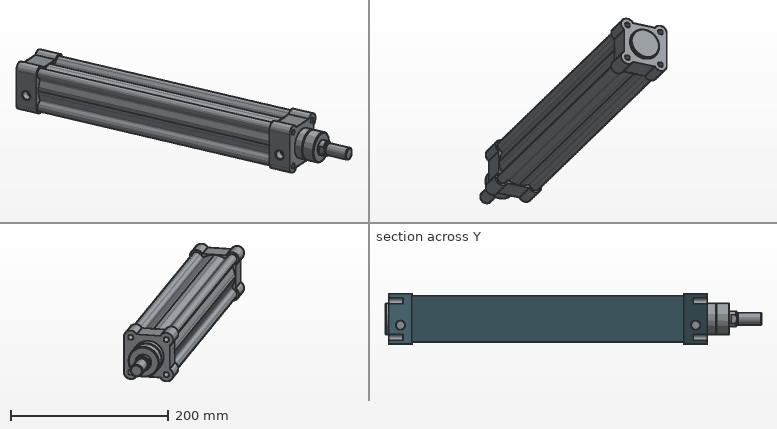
import cadquery as cq
import math


stroke = 300.0
cover_length = 30.0
stroke_allowance = 46.0
tube_length = stroke + stroke_allowance
rear_boss_length = 4.2
front_boss_length = 28.0
groove_offset = 10.5
shoulder_projection = 37.0
thread_length = 32.0

front_cover_x = cover_length + tube_length
front_face_x = front_cover_x + cover_length
boss_end_x = front_face_x + front_boss_length
shoulder_x = front_face_x + shoulder_projection

bolt_offset = 46.5 / 2
lobe_radius = 9.0
cover_half = bolt_offset + lobe_radius
recessed_half = 27.75
screw_hole_diameter = 6.8
screw_hole_depth = 18.0
port_diameter = 11.4
port_chamfer = 0.7
port_depth = 12.0
port_drop = 8.0
boss_diameter = 40.0
groove_diameter = 39.0
groove_width = 1.2
boss_chamfer = 1.0

tube_radius = 27.0
rail_radius = 6.3
ridge_half_width = 5.0
ridge_peak = 27.6
rail_root_fillet = 1.5

rod_diameter = 20.0
thread_diameter = 16.0
flat_width = 17.0
flat_gap = 2.0
shoulder_chamfer = 1.0
thread_chamfer = 1.0
undercut_diameter = 15.0
undercut_length = 1.5


def section(x):
    """Workplane across the cylinder axis: local x = Y, local y = Z, normal = +X."""
    return cq.Workplane("YZ", origin=(x, 0, 0))


def bolt_points():
    return [(y, z) for y in (-bolt_offset, bolt_offset) for z in (-bolt_offset, bolt_offset)]


def cover_block(x):
    """Square cover: recessed flats on +Y, +Z and -Z, one full-width port face on -Y, round corners."""
    body = section(x).rect(2 * recessed_half, 2 * recessed_half).extrude(cover_length)
    body = body.union(section(x).pushPoints(bolt_points()).circle(lobe_radius).extrude(cover_length))
    port_side_center = -(cover_half + bolt_offset) / 2
    port_side = (
        section(x)
        .center(port_side_center, 0)
        .rect(lobe_radius, 2 * bolt_offset)
        .extrude(cover_length)
    )
    return body.union(port_side)


def cut_port(body, x):
    mouth = cq.Workplane("XZ", origin=(x + cover_length / 2, -cover_half, -port_drop))
    bore = mouth.circle(port_diameter / 2).extrude(-port_depth)
    countersink = (
        mouth.circle(port_diameter / 2 + port_chamfer).extrude(-port_chamfer, taper=45)
    )
    return body.cut(bore).cut(countersink)


def cut_screw_holes(body, face_x, inward):
    holes = (
        section(face_x)
        .pushPoints(bolt_points())
        .circle(screw_hole_diameter / 2)
        .extrude(inward * screw_hole_depth)
    )
    return body.cut(holes)


def make_rear_cover():
    boss = section(0).circle(boss_diameter / 2).extrude(-rear_boss_length)
    boss = boss.faces("<X").chamfer(boss_chamfer)
    body = cut_port(cover_block(0), 0)
    return cut_screw_holes(body, 0, 1).union(boss)


def make_front_cover():
    boss = section(front_face_x).circle(boss_diameter / 2).extrude(front_boss_length)
    boss = boss.faces(">X").chamfer(boss_chamfer)
    groove = (
        section(front_face_x + groove_offset)
        .circle(boss_diameter / 2)
        .circle(groove_diameter / 2)
        .extrude(groove_width)
    )
    body = cut_port(cover_block(front_cover_x), front_cover_x)
    return cut_screw_holes(body, front_face_x, -1).union(boss.cut(groove))


def round_rail_roots(body):
    """Fillet the eight inner corners where the rails meet the round tube."""
    root_along = math.sqrt(tube_radius**2 - rail_radius**2)
    near = (root_along - rail_radius) / math.sqrt(2)
    far = (root_along + rail_radius) / math.sqrt(2)
    corners = [(near, far), (far, near)]
    middle_x = cover_length + tube_length / 2
    for sign_y in (-1, 1):
        for sign_z in (-1, 1):
            for y, z in corners:
                root = cq.selectors.NearestToPointSelector((middle_x, sign_y * y, sign_z * z))
                body = body.edges("|X").edges(root).fillet(rail_root_fillet)
    return body


def make_tube():
    """Round tube with a round-ended rail on each diagonal and a low ridge along each side."""
    body = section(cover_length).circle(tube_radius).extrude(tube_length)
    rail_reach = bolt_offset * math.sqrt(2)
    ridge_foot = math.sqrt(tube_radius**2 - ridge_half_width**2)
    for quarter in range(4):
        rail = (
            section(cover_length)
            .transformed(rotate=(0, 0, 45 + 90 * quarter))
            .center(rail_reach / 2, 0)
            .slot2D(rail_reach + 2 * rail_radius, 2 * rail_radius)
            .extrude(tube_length)
        )
        ridge = (
            section(cover_length)
            .transformed(rotate=(0, 0, 90 * quarter))
            .polyline([
                (0, 0),
                (ridge_foot, -ridge_half_width),
                (ridge_peak, 0),
                (ridge_foot, ridge_half_width),
            ])
            .close()
            .extrude(tube_length)
        )
        body = body.union(rail).union(ridge)
    return round_rail_roots(body)


def make_rod():
    shank = section(boss_end_x).circle(rod_diameter / 2).extrude(shoulder_x - boss_end_x)
    shank = shank.faces(">X").chamfer(shoulder_chamfer)
    flats_start = boss_end_x + flat_gap
    slab = section(flats_start).rect(flat_width, rod_diameter).extrude(shoulder_x - flats_start)
    collar = section(boss_end_x).circle(rod_diameter / 2).extrude(flat_gap)
    shank = shank.intersect(slab.union(collar))
    root = section(shoulder_x).circle(undercut_diameter / 2).extrude(undercut_length)
    thread = (
        section(shoulder_x + undercut_length)
        .circle(thread_diameter / 2)
        .extrude(thread_length - undercut_length)
        .faces(">X")
        .chamfer(thread_chamfer)
        .faces("<X")
        .chamfer((thread_diameter - undercut_diameter) / 2)
    )
    return shank.union(root).union(thread)


rear_cover = make_rear_cover()
tube = make_tube()
front_cover = make_front_cover()
rod = make_rod()

result = cq.Compound.makeCompound([rear_cover.val(), tube.val(), front_cover.val(), rod.val()])